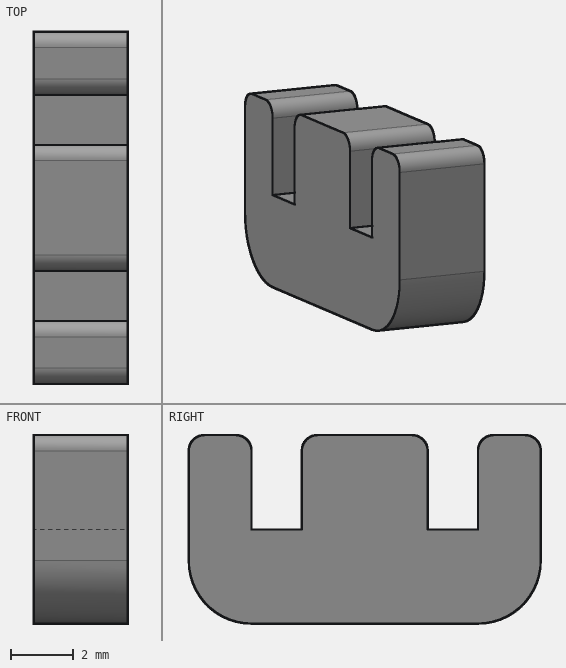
import cadquery as cq

thickness = 3.0
length = 11.2
height = 6.0

outer_prong_width = 2.0
center_prong_width = 2 * outer_prong_width
slot_width = (length - center_prong_width - 2 * outer_prong_width) / 2
slot_depth = height / 2

base_corner_radius = 2.0
prong_tip_radius = 0.5


def make_block():
    """Solid block centred on the origin, with large rounds on its lower edges."""
    block = cq.Workplane("XY").box(thickness, length, height)
    return block.edges("|X and <Z").fillet(base_corner_radius)


def make_slots():
    """The two slots, open at the top, on either side of the center prong."""
    slot_offset = (center_prong_width + slot_width) / 2
    slot_middle_z = (height - slot_depth) / 2
    return (
        cq.Workplane("XY", origin=(0, 0, slot_middle_z))
        .pushPoints([(0, -slot_offset), (0, slot_offset)])
        .box(thickness, slot_width, slot_depth)
    )


slotted_block = make_block().cut(make_slots())

result = slotted_block.faces(">Z").edges("|X").fillet(prong_tip_radius)